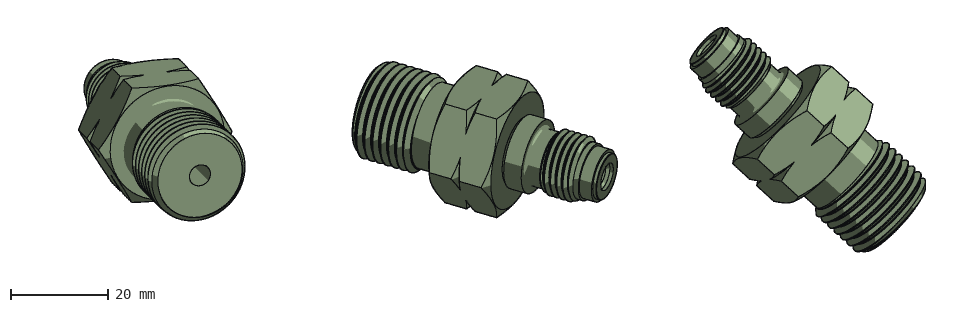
import cadquery as cq
import math

INCH = 25.4
THREAD_ANGLE = math.radians(60)
CREST_FLAT_SHARE = 1 / 8
HEX_TURNING_ANGLE = math.radians(30)
FILLET_MIDDLE_SHARE = 1 - math.sqrt(0.5)

nose_tip_end = 0.84
nose_end = 3.6
small_thread_start = 4.85
small_thread_end = 12.45
collar_start = 15.76
hex_start = 20.46
hex_end = 34.67
large_thread_start = 40.2
total_length = 53.78

nose_tip_radius = 5.0
nose_tip_chamfer = 0.12
nose_radius = 5.65
small_core_radius = 6.12
collar_radius = 7.93
collar_root_fillet = 0.6
collar_chamfer = 0.7

hex_across_flats = INCH
hex_across_corners = hex_across_flats / math.cos(math.pi / 6)
hex_face_radius = 12.55
hex_groove_radius = 12.95
neck_radius = 9.24
neck_fillet = 0.8

bore_radius = 2.3
mouth_radius = 2.95
mouth_depth = 0.8
mouth_cone_length = mouth_radius - bore_radius

small_thread_radius = 7.07
small_pitch = INCH / 18
small_groove_start = 2.83
large_thread_radius = 0.825 * INCH / 2
large_pitch = INCH / 14
large_groove_start = 37.2
floor_clearance = 0.03
groove_overshoot = 0.2


def revolve_about_x(points):
    """Solid of revolution from (axial position, radius) points."""
    return cq.Workplane("XZ").polyline(points).close().revolve(360, (0, 0, 0), (1, 0, 0))


def thread_groove(start, length, pitch, crest_radius, floor_radius, left_handed):
    """Helical 60 degree groove about the X axis, starting on the -Z side."""
    slope = math.tan(THREAD_ANGLE / 2)
    half_mouth = pitch * (1 - CREST_FLAT_SHARE) / 2
    half_floor = half_mouth - (crest_radius - floor_radius) * slope
    half_outer = half_mouth + groove_overshoot * slope
    outer_radius = crest_radius + groove_overshoot
    helix = cq.Wire.makeHelix(pitch, length, floor_radius, lefthand=left_handed)
    groove = (
        cq.Workplane("XZ")
        .polyline([
            (floor_radius, -half_floor),
            (outer_radius, -half_outer),
            (outer_radius, half_outer),
            (floor_radius, half_floor),
        ])
        .close()
        .sweep(cq.Workplane(obj=helix), isFrenet=True)
    )
    return groove.rotate((0, 0, 0), (0, 1, 0), 90).translate((start, 0, 0))


def make_thread(start, end, groove_start, pitch, crest_radius, core_radius, left_handed):
    """Threaded length with 45 degree ends that run down to the core radius."""
    groove_length = end + pitch - groove_start
    groove = thread_groove(
        groove_start,
        groove_length,
        pitch,
        crest_radius,
        core_radius + floor_clearance,
        left_handed,
    )
    rod_overhang = 2 * pitch
    rod = (
        cq.Workplane("YZ", origin=(groove_start - rod_overhang, 0, 0))
        .circle(crest_radius)
        .extrude(groove_length + 2 * rod_overhang)
    )
    height = crest_radius - core_radius
    envelope = revolve_about_x([
        (start, 0),
        (start, core_radius),
        (start + height, crest_radius),
        (end - height, crest_radius),
        (end, core_radius),
        (end, 0),
    ])
    return rod.cut(groove).intersect(envelope)


def make_bore():
    """Through bore with a wider mouth that tapers down to it."""
    return revolve_about_x([
        (0, 0),
        (0, mouth_radius),
        (mouth_depth, mouth_radius),
        (mouth_depth + mouth_cone_length, bore_radius),
        (total_length, bore_radius),
        (total_length, 0),
    ])


def make_nipple():
    """Stepped nose, right-hand thread and collar, ending at the hexagon face."""
    nose = revolve_about_x([
        (0, 0),
        (0, nose_tip_radius - nose_tip_chamfer),
        (nose_tip_chamfer, nose_tip_radius),
        (nose_tip_end, nose_tip_radius),
        (nose_tip_end, nose_radius),
        (nose_end, nose_radius),
        (nose_end, small_core_radius),
        (small_thread_start, small_core_radius),
        (small_thread_start, 0),
    ])
    thread = make_thread(
        small_thread_start,
        small_thread_end,
        small_groove_start,
        small_pitch,
        small_thread_radius,
        small_core_radius,
        left_handed=False,
    )
    root_end = (collar_start, small_core_radius + collar_root_fillet)
    root_start = (collar_start - collar_root_fillet, small_core_radius)
    root_inset = collar_root_fillet * FILLET_MIDDLE_SHARE
    root_middle = (collar_start - root_inset, small_core_radius + root_inset)
    collar = (
        cq.Workplane("XZ")
        .moveTo(small_thread_end, 0)
        .lineTo(small_thread_end, small_core_radius)
        .lineTo(*root_start)
        .threePointArc(root_middle, root_end)
        .lineTo(collar_start, collar_radius)
        .lineTo(hex_start - collar_chamfer, collar_radius)
        .lineTo(hex_start, collar_radius - collar_chamfer)
        .lineTo(hex_start, 0)
        .close()
        .revolve(360, (0, 0, 0), (1, 0, 0))
    )
    return nose.union(thread).union(collar).cut(make_bore())


def make_hexagon():
    """Hexagon with 30 degree end chamfers and a turned V groove around its middle."""
    corner_radius = hex_across_corners / 2
    middle = (hex_start + hex_end) / 2
    chamfer_length = (corner_radius - hex_face_radius) * math.tan(HEX_TURNING_ANGLE)
    groove_half_width = (corner_radius - hex_groove_radius) * math.tan(HEX_TURNING_ANGLE)
    prism = (
        cq.Workplane("YZ", origin=(hex_start, 0, 0))
        .polygon(6, hex_across_corners)
        .extrude(hex_end - hex_start)
    )
    envelope = revolve_about_x([
        (hex_start, 0),
        (hex_start, hex_face_radius),
        (hex_start + chamfer_length, corner_radius),
        (middle - groove_half_width, corner_radius),
        (middle, hex_groove_radius),
        (middle + groove_half_width, corner_radius),
        (hex_end - chamfer_length, corner_radius),
        (hex_end, hex_face_radius),
        (hex_end, 0),
    ])
    return prism.intersect(envelope)


def make_neck():
    """Plain neck with a fillet where it meets the hexagon."""
    fillet_middle = neck_fillet * FILLET_MIDDLE_SHARE
    return (
        cq.Workplane("XZ")
        .moveTo(hex_end, 0)
        .lineTo(hex_end, neck_radius + neck_fillet)
        .threePointArc(
            (hex_end + fillet_middle, neck_radius + fillet_middle),
            (hex_end + neck_fillet, neck_radius),
        )
        .lineTo(large_thread_start, neck_radius)
        .lineTo(large_thread_start, 0)
        .close()
        .revolve(360, (0, 0, 0), (1, 0, 0))
    )


def make_body():
    """Hexagon, neck and left-hand thread in one piece, with the bore through them."""
    thread = make_thread(
        large_thread_start,
        total_length,
        large_groove_start,
        large_pitch,
        large_thread_radius,
        neck_radius,
        left_handed=True,
    )
    return make_hexagon().union(make_neck()).union(thread).cut(make_bore())


nipple = make_nipple()
body = make_body()

result = cq.Compound.makeCompound([nipple.solids().val(), body.solids().val()])